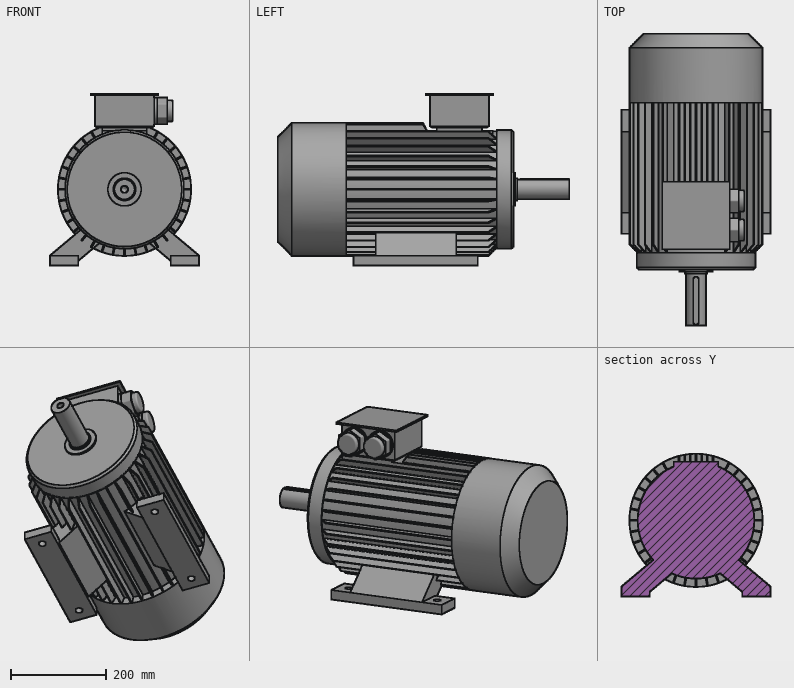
import cadquery as cq
import math

LENGTH = 613.0

SHAFT_DIA = 42.0
SHAFT_CENTRE_DIA = 14.0
SHAFT_CENTRE_DEPTH = 24.5
SHAFT_CENTRE_CHAMFER = 0.5
DRILL_POINT_ANGLE = 118
KEY_WIDTH = 12.0
KEY_FRONT_Y = 2.0
KEY_END_Y = 102.5
KEY_TOP_Z = 22.5
INNER_COLLAR_DIA = 47.0
INNER_COLLAR_Y = 109.0
OUTER_COLLAR_DIA = 70.0
OUTER_COLLAR_Y = 113.5

SHIELD_DIA = 250.0
SHIELD_FRONT_Y = 117.0
SHIELD_REAR_Y = 152.5
SHIELD_CHAMFER = 5.0
CORE_DIA = 245.0
COVER_DIA = 280.0
COVER_FRONT_Y = 468.5
COVER_CHAMFER = 30.0

FIN_ROOT_OVERLAP = 3.0
FIN_THICKNESS = 2.5
FIN_STEP_ANGLE = 10
FIN_FREE_ANGLE = 30
FIN_FRONT_Y = 155.0
FIN_TAPER = 15.5
FIN_FRONT_RADIUS = COVER_DIA / 2 - FIN_TAPER
TOP_FIN_COUNT = 7
TOP_FIN_SPAN = 72.0
TOP_FIN_PITCH = TOP_FIN_SPAN / (TOP_FIN_COUNT - 1)
TOP_FIN_FRONT_Y = 299.0
TOP_FIN_TAPER = 8.5

PAD_WIDTH = 94.5
PAD_TOP_Z = 123.0
PAD_FRONT_Y = 161.0

BOX_CENTRE_Y = 231.0
BOX_SIZE = 124.5
BOX_BOTTOM_Z = 129.5
BOX_CHAMFER_HEIGHT = 3.5
BOX_CHAMFER_INSET = 5.0
NECK_LENGTH = 95.5
LID_SIZE = 142.0
LID_THICKNESS = 3.5
LID_TOP_Z = 201.0

GLAND_PITCH = 61.0
GLAND_Z = 165.0
GLAND_NECK_DIA = 56.5
GLAND_NECK_LENGTH = 6.0
GLAND_HEX_CORNERS = 57.5
GLAND_HEX_FILLET = 3.0
GLAND_HEX_LENGTH = 21.5
GLAND_CAP_DIA = 45.5
GLAND_CAP_LENGTH = 11.5
GLAND_CAP_FILLET = 3.5

TOTAL_HEIGHT = 361.0
TOTAL_WIDTH = 314.0
FOOT_BOTTOM_Z = LID_TOP_Z - TOTAL_HEIGHT
FOOT_THICKNESS = 21.0
FOOT_OUTER_X = TOTAL_WIDTH / 2
FOOT_WIDTH = 60.0
FOOT_FRONT_Y = 192.5
FOOT_LENGTH = 261.0
FOOT_HOLE_DIA = 15.0
FOOT_HOLE_PITCH = 209.5
LEG_FRONT_Y = 237.0
LEG_LENGTH = 170.0
LEG_ANGLE = 40
LEG_REACH = 110.5
LEG_INNER_DROP = 11.0


def cylinder_y(diameter, y_start, y_end):
    """Cylinder about the shaft axis between two Y positions."""
    disc = cq.Workplane("XZ", origin=(0, y_start, 0)).circle(diameter / 2)
    return disc.extrude(y_start - y_end)


def block(size_x, y_start, y_end, z_bottom, z_top):
    """Box centred on X = 0."""
    corner = cq.Workplane("XY", origin=(0, y_start, z_bottom))
    return corner.box(size_x, y_end - y_start, z_top - z_bottom, centered=(True, False, False))


def make_centre_hole():
    """Solid of the drilled hole in the shaft tip: chamfered mouth and conical floor."""
    radius = SHAFT_CENTRE_DIA / 2
    point_length = radius / math.tan(math.radians(DRILL_POINT_ANGLE / 2))
    half_profile = [
        (0, 0),
        (radius + SHAFT_CENTRE_CHAMFER, 0),
        (radius, SHAFT_CENTRE_CHAMFER),
        (radius, SHAFT_CENTRE_DEPTH),
        (0, SHAFT_CENTRE_DEPTH + point_length),
    ]
    return cq.Workplane("XY").polyline(half_profile).close().revolve(360, (0, 0), (0, 1))


def make_shaft():
    shaft = cylinder_y(SHAFT_DIA, 0, SHIELD_REAR_Y)
    shaft = shaft.union(cylinder_y(INNER_COLLAR_DIA, INNER_COLLAR_Y, SHIELD_REAR_Y))
    shaft = shaft.union(cylinder_y(OUTER_COLLAR_DIA, OUTER_COLLAR_Y, SHIELD_REAR_Y))
    key = (
        cq.Workplane("XY")
        .center(0, (KEY_FRONT_Y + KEY_END_Y) / 2)
        .slot2D(KEY_END_Y - KEY_FRONT_Y, KEY_WIDTH, 90)
        .extrude(KEY_TOP_Z)
    )
    return shaft.union(key).cut(make_centre_hole())


def make_housing():
    shield = cylinder_y(SHIELD_DIA, SHIELD_FRONT_Y, SHIELD_REAR_Y).faces("<Y").chamfer(SHIELD_CHAMFER)
    core = cylinder_y(CORE_DIA, SHIELD_REAR_Y, COVER_FRONT_Y)
    cover = cylinder_y(COVER_DIA, COVER_FRONT_Y, LENGTH).faces(">Y").chamfer(COVER_CHAMFER)
    core_with_pad = core.union(block(PAD_WIDTH, PAD_FRONT_Y, COVER_FRONT_Y, 0, PAD_TOP_Z))
    return shield.union(core_with_pad).union(cover)


def fin_plate(points):
    """Thin plate in the YZ plane, centred on X = 0."""
    return cq.Workplane("YZ").polyline(points).close().extrude(FIN_THICKNESS / 2, both=True)


def make_radial_fins():
    root_radius = CORE_DIA / 2 - FIN_ROOT_OVERLAP
    tip_radius = COVER_DIA / 2
    fin = fin_plate(
        [
            (FIN_FRONT_Y, root_radius),
            (FIN_FRONT_Y, FIN_FRONT_RADIUS),
            (FIN_FRONT_Y + FIN_TAPER, tip_radius),
            (COVER_FRONT_Y, tip_radius),
            (COVER_FRONT_Y, root_radius),
        ]
    )
    angles = range(FIN_FREE_ANGLE, 360 - FIN_FREE_ANGLE + 1, FIN_STEP_ANGLE)
    return [fin.rotate((0, 0, 0), (0, 1, 0), angle) for angle in angles]


def make_top_fins():
    fins = []
    for index in range(TOP_FIN_COUNT):
        x = (index - (TOP_FIN_COUNT - 1) / 2) * TOP_FIN_PITCH
        tip_z = math.sqrt((COVER_DIA / 2) ** 2 - x**2)
        fin = fin_plate(
            [
                (TOP_FIN_FRONT_Y, PAD_TOP_Z),
                (TOP_FIN_FRONT_Y + TOP_FIN_TAPER, tip_z),
                (COVER_FRONT_Y, tip_z),
                (COVER_FRONT_Y, PAD_TOP_Z),
            ]
        )
        fins.append(fin.translate((x, 0, 0)))
    return fins


def make_terminal_box():
    def box_part(size_x, size_y, z_bottom, z_top):
        return block(size_x, BOX_CENTRE_Y - size_y / 2, BOX_CENTRE_Y + size_y / 2, z_bottom, z_top)

    lid_bottom_z = LID_TOP_Z - LID_THICKNESS
    lower_size = BOX_SIZE - 2 * BOX_CHAMFER_INSET
    slope_top_z = BOX_BOTTOM_Z + BOX_CHAMFER_HEIGHT
    lid = box_part(LID_SIZE, LID_SIZE, lid_bottom_z, LID_TOP_Z)
    body = box_part(BOX_SIZE, BOX_SIZE, slope_top_z, lid_bottom_z)
    sloped_bottom = (
        cq.Workplane("XY", origin=(0, BOX_CENTRE_Y, BOX_BOTTOM_Z))
        .rect(lower_size, lower_size)
        .workplane(offset=BOX_CHAMFER_HEIGHT)
        .rect(BOX_SIZE, BOX_SIZE)
        .loft()
    )
    neck = box_part(PAD_WIDTH, NECK_LENGTH, PAD_TOP_Z, BOX_BOTTOM_Z)
    return lid.union(body).union(sloped_bottom).union(neck)


def make_gland(y):
    """Cable gland pointing along +X, with two corners of its hexagon on the vertical line."""
    hex_x = BOX_SIZE / 2 + GLAND_NECK_LENGTH
    cap_x = hex_x + GLAND_HEX_LENGTH

    def plane_at(x):
        return cq.Workplane("YZ", origin=(x, y, GLAND_Z))

    neck = plane_at(BOX_SIZE / 2).circle(GLAND_NECK_DIA / 2).extrude(GLAND_NECK_LENGTH)
    hexagon = plane_at(hex_x).transformed(rotate=(0, 0, 90)).polygon(6, GLAND_HEX_CORNERS)
    hexagon = hexagon.extrude(GLAND_HEX_LENGTH).edges("|X").fillet(GLAND_HEX_FILLET)
    cap = plane_at(cap_x).circle(GLAND_CAP_DIA / 2).extrude(GLAND_CAP_LENGTH)
    cap = cap.faces(">X").edges().fillet(GLAND_CAP_FILLET)
    return neck.union(hexagon).union(cap)


def make_foot():
    """Foot on the +X side: a drilled base bar and a slanted leg up to the core."""
    top_z = FOOT_BOTTOM_Z + FOOT_THICKNESS
    inner_x = FOOT_OUTER_X - FOOT_WIDTH
    centre_x = FOOT_OUTER_X - FOOT_WIDTH / 2
    bar = block(FOOT_WIDTH, FOOT_FRONT_Y, FOOT_FRONT_Y + FOOT_LENGTH, FOOT_BOTTOM_Z, top_z)
    bar = bar.translate((centre_x, 0, 0))
    holes = (
        cq.Workplane("XY", origin=(centre_x, FOOT_FRONT_Y + FOOT_LENGTH / 2, FOOT_BOTTOM_Z))
        .rarray(6, FOOT_HOLE_PITCH, 1, 2)
        .circle(FOOT_HOLE_DIA / 2)
        .extrude(FOOT_THICKNESS)
    )
    step_x = LEG_REACH * math.cos(math.radians(LEG_ANGLE))
    step_z = LEG_REACH * math.sin(math.radians(LEG_ANGLE))
    inner_z = top_z - LEG_INNER_DROP
    leg = (
        cq.Workplane("XZ", origin=(0, LEG_FRONT_Y, 0))
        .polyline(
            [
                (FOOT_OUTER_X, top_z),
                (FOOT_OUTER_X - step_x, top_z + step_z),
                (inner_x - step_x, inner_z + step_z),
                (inner_x, inner_z),
            ]
        )
        .close()
        .extrude(-LEG_LENGTH)
    )
    return bar.cut(holes).union(leg)


result = make_housing().union(make_shaft())
for fin in make_radial_fins() + make_top_fins():
    result = result.union(fin)
foot = make_foot()
result = result.union(foot).union(foot.mirror("YZ"))
result = result.union(make_terminal_box())
for side in (-1, 1):
    result = result.union(make_gland(BOX_CENTRE_Y + side * GLAND_PITCH / 2))